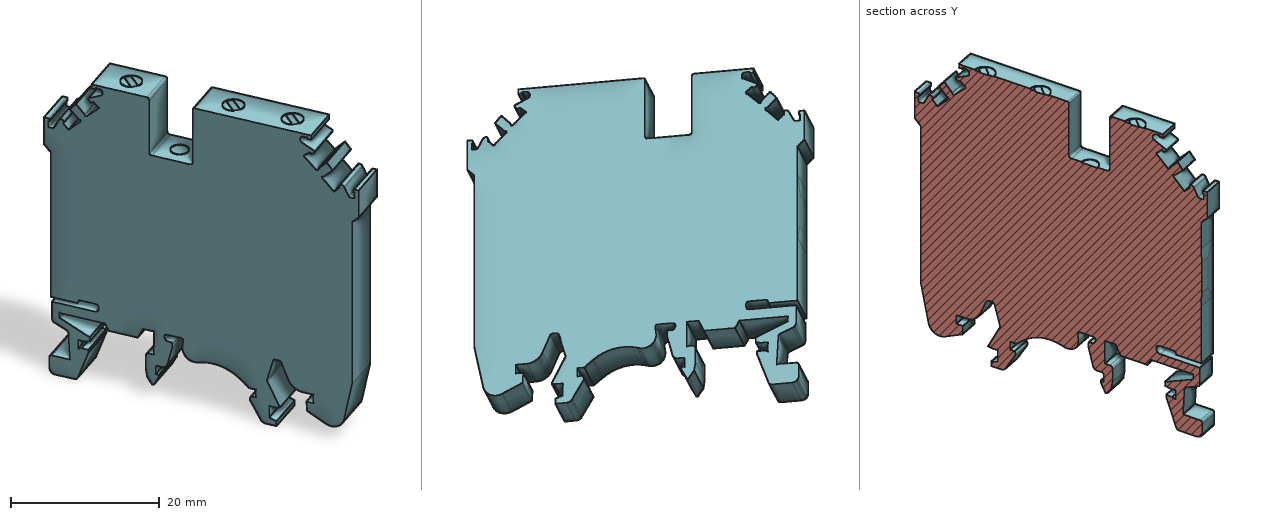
import cadquery as cq
import math

HEIGHT = 47.0
WIDTH = 46.5
THICKNESS = 6.0

EAR_X = WIDTH / 2
WALL_X = 22.3
EAR_BOTTOM_Z = 35.8
EAR_TOP_Z = 40.1
SLIT_TOP_Z = 12.1
CLIP_TOP_Z = 11.37
CLIP_UNDER_Z = 9.85
POCKET_Z = 10.4
PAD_Z = 8.85
HOOK_NOTCH_TOP_Z = 6.3
FOOT_NOTCH_TOP_Z = 5.0
LATCH_Z = 3.75
HEEL_Z = 2.9

SLOT_LEFT_X = -7.7
SLOT_RIGHT_X = -1.25
SLOT_FLOOR_Z = 38.0
SLOT_ROUND = 0.38
SLOT_LIP_ROUND = 0.25

SCREW_XS = (-11.7, 3.4, 12.13)
SCREW_DIAMETER = 3.0
DRIVER_SLOT_WIDTH = 1.0
DRIVER_SLOT_ANGLE = -45
TEST_HOLE_X = -4.55
TEST_HOLE_DIAMETER = 2.55
SINK_DEPTH = 0.1

PLATE_Z = 26.05
PLATE_HEIGHT = 9.3
PLATE_FACE_HEIGHT = 4.95
PLATE_FACE_WIDTH = 3.55
PLATE_FACE_Y = 0.35
PLATE_RISE = 0.1


LEFT_RAIL = [
    (-WALL_X, EAR_BOTTOM_Z - (EAR_X - WALL_X), 0),
    (-EAR_X, EAR_BOTTOM_Z, 0),
    (-EAR_X, EAR_TOP_Z, 0),
    (-22.45, EAR_TOP_Z, 0.2),
    (-22.45, 39.6, 0),
    (-22.6, 39.57, 0),
    (-22.6, 38.7, 0.15),
    (-21.85, 38.7, 0.3),
    (-20.95, 40.35, 0.5),
    (-20.4, 40.35, 0.25),
    (-20.4, 39.8, 0),
    (-19.6, 39.0, 0),
    (-17.65, 40.95, 0.15),
    (-18.15, 41.05, 0.15),
    (-19.4, 42.3, 0),
    (-18.5, 43.35, 0),
    (-17.25, 42.0, 0.15),
    (-17.3, 41.45, 0.2),
    (-15.15, 43.5, 0),
    (-16.05, 44.3, 0.1),
    (-16.25, 44.05, 0.1),
    (-16.85, 44.6, 0.2),
    (-14.45, 45.8, 0.4),
    (-14.8, 46.55, 0.4),
    (-15.6, 46.55, 0),
    (-15.7, 46.35, 0),
    (-16.2, 46.35, 0),
    (-16.2, HEIGHT, 0),
]

WIRE_SLOT = [
    (SLOT_LEFT_X, HEIGHT, SLOT_ROUND),
    (SLOT_LEFT_X, SLOT_FLOOR_Z, SLOT_ROUND),
    (SLOT_RIGHT_X, SLOT_FLOOR_Z, SLOT_ROUND),
    (SLOT_RIGHT_X, HEIGHT, SLOT_LIP_ROUND),
]

RIGHT_FOOT = [
    (WALL_X, 9.5, 0),
    (20.6, 1.15, 1.9),
    (15.6, 3.52, 0.2),
    (15.5, FOOT_NOTCH_TOP_Z, 0),
    (16.55, FOOT_NOTCH_TOP_Z, 0),
    (16.55, HOOK_NOTCH_TOP_Z, 0),
    (13.5, HOOK_NOTCH_TOP_Z, 2.35),
    (11.7, 10.45, 0.45),
    (10.65, 10.45, 0.45),
]

RIGHT_HOOK = [
    (9.7, 6.85, 0.2),
    (11.6, 3.05, 0),
    (11.25, HEEL_Z, 0),
    (10.05, HEEL_Z, 0),
    (10.05, 1.15, 0),
    (11.1, 0.75, 0),
    (11.1, 0, 0),
    (9.02, 0, 0.95),
    (7.1, 3.3, 0.2),
    (7.35, LATCH_Z, 0),
    (8.05, LATCH_Z, 0),
    (8.05, FOOT_NOTCH_TOP_Z, 0),
    (7.1, FOOT_NOTCH_TOP_Z, 0),
    (3.2, 8.2, 6.6),
    (-3.1, 6.4, 1.8),
    (-2.65, POCKET_Z, 0.38),
]

LATCH_FINGER = [
    (-5.8, POCKET_Z, 0.4),
    (-5.15, 9.35, 0.3),
    (-4.32, 9.35, 0.25),
    (-4.32, 8.45, 0.25),
    (-5.15, 5.1, 0.75),
    (-6.7, 5.1, 0.25),
    (-6.7, LATCH_Z, 0),
    (-6.3, LATCH_Z, 0),
    (-6.3, 3.4, 0),
    (-7.15, 1.8, 0.2),
    (-8.05, 3.1, 0),
    (-8.22, 4.32, 0),
    (-8.22, 6.75, 0.45),
    (-7.0, 6.75, 0),
    (-7.0, POCKET_Z, 0),
    (-8.65, POCKET_Z, 0),
    (-9.4, PAD_Z, 0),
    (-13.7, PAD_Z, 0),
    (-14.3, CLIP_UNDER_Z, 0),
]

LEFT_CLIP = [
    (-20.95, CLIP_UNDER_Z, 0),
    (-20.95, 9.1, 0.15),
    (-16.5, 7.15, 0),
    (-16.5, 6.5, 0),
    (-17.2, HOOK_NOTCH_TOP_Z, 0),
    (-18.2, HOOK_NOTCH_TOP_Z, 0),
    (-18.2, 4.95, 0),
    (-17.65, 5.1, 0),
    (-16.7, 5.1, 0),
    (-16.7, 4.65, 0),
    (-18.4, 0, 0.55),
    (-22.45, 0, 0.95),
    (-22.45, HEEL_Z, 0.38),
    (-19.4, HEEL_Z, 0),
    (-19.65, 7.3, 0.45),
    (-22.1, 8.3, 0.75),
    (-22.1, CLIP_TOP_Z, 0),
]

SLIT = [
    (-15.2, CLIP_TOP_Z, 0.55),
    (-15.2, 12.6, 0.4),
    (-18.05, 12.6, 0),
    (-18.35, SLIT_TOP_Z, 0),
    (-WALL_X, SLIT_TOP_Z, 0),
]


def mirrored(corners):
    """Reflect a stretch of outline in the YZ plane, keeping its direction of travel."""
    return [(-x, z, radius) for x, z, radius in reversed(corners)]


def unit_vector(start, end):
    length = math.dist(start, end)
    return (end[0] - start[0]) / length, (end[1] - start[1]) / length


def corner_round(before, corner, after, radius):
    """Return start, middle and end of the arc rounding a corner tangentially."""
    back = unit_vector(corner, before)
    ahead = unit_vector(corner, after)
    half_angle = math.acos(back[0] * ahead[0] + back[1] * ahead[1]) / 2
    setback = radius / math.tan(half_angle)
    reach = radius / math.sin(half_angle) - radius
    inward = unit_vector((0, 0), (back[0] + ahead[0], back[1] + ahead[1]))
    steps = ((back, setback), (inward, reach), (ahead, setback))
    return [(corner[0] + way[0] * far, corner[1] + way[1] * far) for way, far in steps]


def extrude_outline(corners):
    """Join corners by lines and tangent arcs and extrude; the first corner must be sharp."""
    sketch = cq.Workplane("XZ").moveTo(*corners[0][:2])
    for index in range(1, len(corners)):
        x, z, radius = corners[index]
        if radius == 0:
            sketch = sketch.lineTo(x, z)
            continue
        before = corners[index - 1][:2]
        after = corners[(index + 1) % len(corners)][:2]
        start, middle, end = corner_round(before, (x, z), after, radius)
        sketch = sketch.lineTo(*start).threePointArc(middle, end)
    return sketch.close().extrude(THICKNESS / 2, both=True)


def label_plate():
    return (
        cq.Workplane("YZ", origin=(-WALL_X, 0, PLATE_Z))
        .rect(THICKNESS, PLATE_HEIGHT)
        .workplane(offset=-PLATE_RISE)
        .center(PLATE_FACE_Y, 0)
        .rect(PLATE_FACE_WIDTH, PLATE_FACE_HEIGHT)
        .loft(ruled=True)
    )


def round_sink(x, top_z, diameter):
    return cq.Workplane("XY", origin=(x, 0, top_z)).circle(diameter / 2).extrude(-SINK_DEPTH)


def screw_sink(x):
    """Sunken screw head with a diagonal driver slot one step deeper."""
    head = round_sink(x, HEIGHT, SCREW_DIAMETER)
    blade = (
        cq.Workplane("XY", origin=(x, 0, HEIGHT - SINK_DEPTH))
        .transformed(rotate=(0, 0, DRIVER_SLOT_ANGLE))
        .rect(SCREW_DIAMETER, DRIVER_SLOT_WIDTH)
        .extrude(-SINK_DEPTH)
    )
    driver_slot = round_sink(x, HEIGHT - SINK_DEPTH, SCREW_DIAMETER).intersect(blade)
    return head.union(driver_slot)


outline = (
    LEFT_RAIL + WIRE_SLOT + mirrored(LEFT_RAIL)
    + RIGHT_FOOT + RIGHT_HOOK + LATCH_FINGER + LEFT_CLIP + SLIT
)
result = extrude_outline(outline).union(label_plate())
for screw_x in SCREW_XS:
    result = result.cut(screw_sink(screw_x))
result = result.cut(round_sink(TEST_HOLE_X, SLOT_FLOOR_Z, TEST_HOLE_DIAMETER))